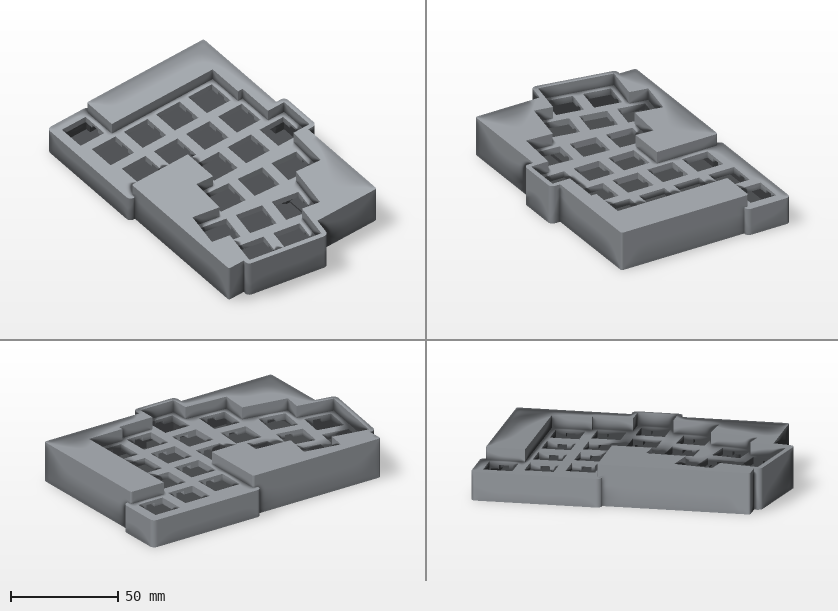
import cadquery as cq
import math

height = 20.0
plate_top = 13.8
plate_thickness = 3.3
cover_thickness = 2.7
wall = 2.4

double_pitch = 38.1
pitch = double_pitch / 2
half_pitch = pitch / 2
switch_hole = 14.0
clip_width = 4.5
clip_roof = 1.4

column_stagger = 2.7
ring_tilt = -4.0
index_tilt = -10.0
index_drop = 0.75 * pitch

deck_left = 0.3
deck_front = 0.7
deck_width = 129.7
deck_depth = 87.8
deck_corner = 1.0

boss_diameter = 6.3
boss_hole = 3.1
boss_x = 104.6
boss_y = 83.3

pocket_left = 96.3
pocket_front = 60.1
pocket_back = 78.6
pocket_depth = 1.7
pocket_relief = 2.1

board_thickness = 0.9
board_gap = 3.4

plate_bottom = plate_top - plate_thickness
block_width = 3 * pitch
deck_right = deck_left + deck_width
deck_back = deck_front + deck_depth
inside_right = deck_right - wall
pocket_floor = cover_thickness - pocket_depth


def step(start, tilt, along, up):
    """Point reached from `start` by moving along axes that are turned by `tilt` degrees."""
    angle = math.radians(tilt)
    return (
        start[0] + along * math.cos(angle) - up * math.sin(angle),
        start[1] + along * math.sin(angle) + up * math.cos(angle),
    )


middle_corner = (3 * pitch, 2 * column_stagger + pitch + half_pitch)
ring_pivot = step(middle_corner, 0, pitch, 0)
ring_corner = step(ring_pivot, ring_tilt, 0, -half_pitch)
index_pivot = step(ring_corner, ring_tilt, pitch, 0)
index_corner = step(index_pivot, index_tilt, 0, -index_drop)
inner_corner = step(index_corner, index_tilt, pitch, half_pitch)

columns = [
    ((0, 0), 0, 1),
    ((pitch, column_stagger), 0, 4),
    ((2 * pitch, 2 * column_stagger), 0, 4),
    (middle_corner, 0, 3),
    (ring_corner, ring_tilt, 3),
    (index_corner, index_tilt, 3),
    (inner_corner, index_tilt, 2),
]


def prism(points, bottom, top):
    return cq.Workplane("XY").workplane(offset=bottom).polyline(points).close().extrude(top - bottom)


def box(left, right, front, back, bottom, top):
    return prism([(left, front), (right, front), (right, back), (left, back)], bottom, top)


def column_outline(corner, tilt, keys):
    return [
        corner,
        step(corner, tilt, pitch, 0),
        step(corner, tilt, pitch, keys * pitch),
        step(corner, tilt, 0, keys * pitch),
    ]


def wedge_outline(pivot, tilt_before, tilt, length):
    """Gap that opens above the pivot between two columns of different tilt."""
    slant = length / math.cos(math.radians(tilt - tilt_before))
    return [pivot, step(pivot, tilt, 0, length), step(pivot, tilt_before, 0, slant)]


def key_area(bottom, top):
    area = box(0, block_width, 0, pitch, bottom, top)
    outlines = [column_outline(*column) for column in columns]
    outlines.append(wedge_outline(ring_pivot, 0, ring_tilt, 3 * pitch - half_pitch))
    outlines.append(wedge_outline(index_pivot, ring_tilt, index_tilt, 3 * pitch - index_drop))
    for outline in outlines:
        area = area.union(prism(outline, bottom, top))
    return area.clean()


def cavity(bottom, top):
    """Room below the key plate and the deck."""
    under_deck = box(deck_left + wall, inside_right, deck_front + wall, deck_back - wall, bottom, top)
    return key_area(bottom, top).union(under_deck)


def rim_block():
    """Key area with the wall around it, lowered to the plate level at the front left."""
    outline = key_area(0, height).faces("<Z").wires().toPending()
    rim = outline.offset2D(wall).extrude(height)
    reach = 2 * wall
    lowered = box(-reach, block_width + reach, -reach, pitch + reach, plate_top, height)
    return rim.cut(lowered)


def deck():
    """Full-height deck that leaves the low front block free."""
    base = box(deck_left, deck_right, deck_front, deck_back, 0, plate_top)
    upper_outline = [
        (deck_left, pitch),
        (block_width, pitch),
        (block_width, deck_front),
        (deck_right, deck_front),
        (deck_right, deck_back),
        (deck_left, deck_back),
    ]
    upper = prism(upper_outline, plate_top, height)
    return base.edges("|Z").fillet(deck_corner).union(upper.edges("|Z").fillet(deck_corner))


def switch_cut(x, y, tilt):
    """Switch hole with a clip slot that runs on to the neighbouring holes."""
    hole = cq.Workplane("XY").rect(switch_hole, switch_hole).extrude(plate_thickness)
    slot = cq.Workplane("XY").rect(clip_width, pitch).extrude(plate_thickness - clip_roof)
    return hole.union(slot).rotate((0, 0, 0), (0, 0, 1), tilt).translate((x, y, plate_bottom))


def screw_boss():
    return (
        cq.Workplane("XY")
        .workplane(offset=cover_thickness)
        .center(boss_x, boss_y)
        .circle(boss_diameter / 2)
        .circle(boss_hole / 2)
        .extrude(plate_bottom - cover_thickness)
    )


def build_case():
    case = rim_block().union(deck()).cut(key_area(plate_top, height)).cut(cavity(0, plate_bottom))
    for corner, tilt, keys in columns:
        for key in range(keys):
            x, y = step(corner, tilt, half_pitch, (key + 0.5) * pitch)
            case = case.cut(switch_cut(x, y, tilt))
    return case.union(screw_boss())


def controller_pocket():
    """Pocket that runs to the right wall, with round reliefs in its left corners."""
    pocket = box(pocket_left, inside_right, pocket_front, pocket_back, pocket_floor, cover_thickness)
    reliefs = (
        cq.Workplane("XY")
        .workplane(offset=pocket_floor)
        .pushPoints([(pocket_left, pocket_front), (pocket_left, pocket_back)])
        .circle(pocket_relief / 2)
        .extrude(pocket_depth)
    )
    return pocket.union(reliefs)


def build_cover():
    return cavity(0, cover_thickness).cut(controller_pocket())


def build_board():
    front = pocket_front + board_gap
    back = pocket_back - board_gap
    return box(pocket_left, inside_right, front, back, pocket_floor, pocket_floor + board_thickness)


case = build_case()
cover = build_cover()
board = build_board()
result = cq.Compound.makeCompound([case.val(), cover.val(), board.val()])